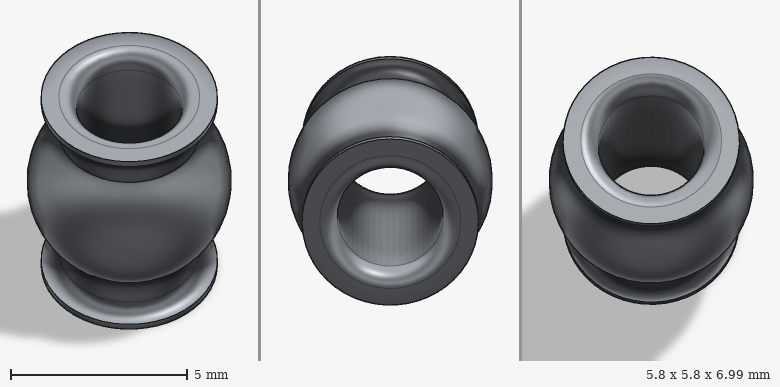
import cadquery as cq

height = 6.99
ball_radius = 2.9
flange_radius = 2.5
neck_radius = 2.005
bore_radius = 1.5
flange_thickness = 0.2
flare_height = 0.385
bore_round_radius = 0.495

half_height = height / 2


def cylinder(radius, bottom, top):
    """Solid cylinder on the Z axis between two heights."""
    return cq.Workplane("XY").workplane(offset=bottom).circle(radius).extrude(top - bottom)


def upper_flange():
    """End flange whose concave flare meets the rim tangent to the flat underside."""
    flange_underside = half_height - flange_thickness
    flare_bottom = flange_underside - flare_height
    flare_width = flange_radius - neck_radius
    flare_radius = (flare_width**2 + flare_height**2) / (2 * flare_height)
    profile = (
        cq.Workplane("XZ")
        .moveTo(0, flare_bottom)
        .lineTo(neck_radius, flare_bottom)
        .radiusArc((flange_radius, flange_underside), flare_radius)
        .lineTo(flange_radius, half_height)
        .lineTo(0, half_height)
        .close()
    )
    return profile.revolve(360, (0, 0, 0), (0, 1, 0))


flange = upper_flange()
body = cylinder(neck_radius, -half_height, half_height)
body = body.union(cq.Workplane("XY").sphere(ball_radius))
body = body.union(flange).union(flange.mirror("XY"))

body = body.cut(cylinder(bore_radius, -half_height, half_height))
bore_mouths = cq.selectors.RadiusNthSelector(0)
result = body.faces("<Z or >Z").edges(bore_mouths).fillet(bore_round_radius)